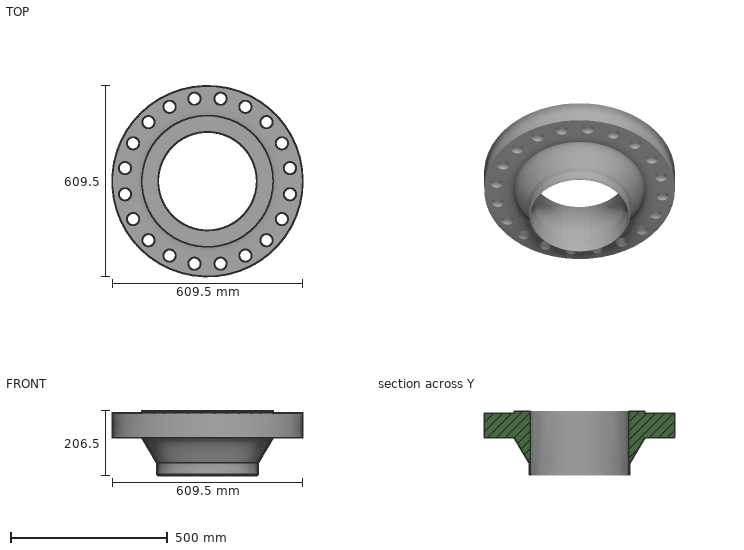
import cadquery as cq

flange_diameter = 609.5
overall_height = 206.5
flange_thickness = 79.0
face_height = 7.0
face_diameter = 419.5
bore_diameter = 314.0

neck_diameter = 324.0
neck_height = 40.0
bevel_height = 4.0
weld_end_diameter = 315.0
hub_diameter = face_diameter

bolt_count = 20
bolt_circle_diameter = 533.5
bolt_hole_diameter = 38.5

flange_top = overall_height - face_height
flange_bottom = flange_top - flange_thickness


def revolved_body():
    """Neck, hub, flange and raised face as one ring around the bore."""
    profile = (
        cq.Workplane("XZ")
        .moveTo(bore_diameter / 2, 0)
        .lineTo(weld_end_diameter / 2, 0)
        .lineTo(neck_diameter / 2, bevel_height)
        .lineTo(neck_diameter / 2, neck_height)
        .lineTo(hub_diameter / 2, flange_bottom)
        .lineTo(flange_diameter / 2, flange_bottom)
        .lineTo(flange_diameter / 2, flange_top)
        .lineTo(face_diameter / 2, flange_top)
        .lineTo(face_diameter / 2, overall_height)
        .lineTo(bore_diameter / 2, overall_height)
        .close()
    )
    return profile.revolve(360, (0, 0, 0), (0, 1, 0))


def bolt_holes():
    """Through holes placed half a pitch off the X axis."""
    half_pitch = 360 / bolt_count / 2
    return (
        cq.Workplane("XY", origin=(0, 0, flange_bottom))
        .polarArray(bolt_circle_diameter / 2, half_pitch, 360, bolt_count)
        .circle(bolt_hole_diameter / 2)
        .extrude(flange_thickness)
    )


result = revolved_body().cut(bolt_holes())